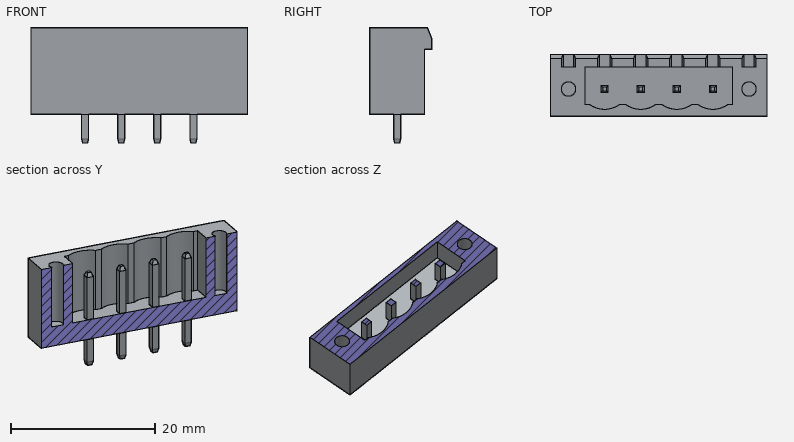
import cadquery as cq

PIN_COUNT = 4
PITCH = 5.0
HOUSING_LENGTH = (PIN_COUNT + 2) * PITCH
HOUSING_HEIGHT = 12.0
HALF_DEPTH = 3.8

LIP_OVERHANG = 1.0
LIP_HEIGHT = 3.0
BEVEL_DEPTH = 0.6
BEVEL_HEIGHT = 1.5

POCKET_LENGTH = 20.4
POCKET_REAR_Y = 3.05
POCKET_FRONT_Y = -2.15
POCKET_FLOOR_Z = 3.0
SCALLOP_HALF_WIDTH = 2.05
SCALLOP_DEPTH = 0.67

NOTCH_TOP_WIDTH = 2.0
NOTCH_FLOOR_WIDTH = 1.45
NOTCH_DEPTH = 1.5

HOLE_DIAMETER = 2.0
HOLE_DEPTH = 9.0

PIN_WIDTH = 1.0
PIN_TOP_TIP_WIDTH = 0.5
PIN_BOTTOM_TIP_WIDTH = 0.7
PIN_TIP_LENGTH = 0.6
PIN_BOTTOM_Z = -4.0
PIN_TOP_Z = 10.0

REAR_Y = HALF_DEPTH + LIP_OVERHANG


def row_positions(count):
    """X positions of a row centred on the part, one pitch apart."""
    return [(i - (count - 1) / 2) * PITCH for i in range(count)]


def make_housing():
    """Side profile with the rear lip, extruded along the length."""
    profile = [
        (-HALF_DEPTH, 0),
        (HALF_DEPTH, 0),
        (HALF_DEPTH, HOUSING_HEIGHT - LIP_HEIGHT),
        (REAR_Y, HOUSING_HEIGHT - LIP_HEIGHT),
        (REAR_Y, HOUSING_HEIGHT - BEVEL_HEIGHT),
        (REAR_Y - BEVEL_DEPTH, HOUSING_HEIGHT),
        (-HALF_DEPTH, HOUSING_HEIGHT),
    ]
    return cq.Workplane("YZ").polyline(profile).close().extrude(HOUSING_LENGTH / 2, both=True)


def make_pocket():
    """Pocket volume with one shallow arc in the front wall per pin."""
    half_length = POCKET_LENGTH / 2
    outline = cq.Workplane("XY").workplane(offset=POCKET_FLOOR_Z)
    outline = outline.moveTo(-half_length, POCKET_REAR_Y).lineTo(-half_length, POCKET_FRONT_Y)
    for x in row_positions(PIN_COUNT):
        outline = outline.lineTo(x - SCALLOP_HALF_WIDTH, POCKET_FRONT_Y)
        outline = outline.threePointArc(
            (x, POCKET_FRONT_Y - SCALLOP_DEPTH),
            (x + SCALLOP_HALF_WIDTH, POCKET_FRONT_Y),
        )
    outline = outline.lineTo(half_length, POCKET_FRONT_Y).lineTo(half_length, POCKET_REAR_Y)
    return outline.close().extrude(HOUSING_HEIGHT - POCKET_FLOOR_Z)


def make_notch(x):
    """Trapezoidal notch from the pocket's rear wall out through the lip."""
    floor_z = HOUSING_HEIGHT - NOTCH_DEPTH
    section = [
        (x - NOTCH_TOP_WIDTH / 2, HOUSING_HEIGHT),
        (x - NOTCH_FLOOR_WIDTH / 2, floor_z),
        (x + NOTCH_FLOOR_WIDTH / 2, floor_z),
        (x + NOTCH_TOP_WIDTH / 2, HOUSING_HEIGHT),
    ]
    rear_plane = cq.Workplane("XZ", origin=(0, POCKET_REAR_Y, 0))
    return rear_plane.polyline(section).close().extrude(POCKET_REAR_Y - REAR_Y)


def make_screw_hole(x):
    """Blind hole sunk from the top face."""
    top = cq.Workplane("XY", origin=(x, 0, HOUSING_HEIGHT))
    return top.circle(HOLE_DIAMETER / 2).extrude(-HOLE_DEPTH)


def make_pin_tip(x, base_z, direction, end_width):
    """Frustum that narrows from base_z upwards (1) or downwards (-1)."""
    base = cq.Workplane("XY", origin=(x, 0, base_z)).rect(PIN_WIDTH, PIN_WIDTH)
    end = base.workplane(offset=direction * PIN_TIP_LENGTH).rect(end_width, end_width)
    return end.loft(ruled=True)


def make_pin(x):
    """Square pin through the pocket floor, tapered at both ends."""
    shank_bottom = PIN_BOTTOM_Z + PIN_TIP_LENGTH
    shank_top = PIN_TOP_Z - PIN_TIP_LENGTH
    start = cq.Workplane("XY", origin=(x, 0, shank_bottom))
    shank = start.rect(PIN_WIDTH, PIN_WIDTH).extrude(shank_top - shank_bottom)
    top_tip = make_pin_tip(x, shank_top, 1, PIN_TOP_TIP_WIDTH)
    bottom_tip = make_pin_tip(x, shank_bottom, -1, PIN_BOTTOM_TIP_WIDTH)
    return shank.union(top_tip).union(bottom_tip)


result = make_housing().cut(make_pocket())

notch_positions = row_positions(PIN_COUNT + 2)
for notch_x in notch_positions:
    result = result.cut(make_notch(notch_x))

for hole_x in (notch_positions[0], notch_positions[-1]):
    result = result.cut(make_screw_hole(hole_x))

for pin_x in row_positions(PIN_COUNT):
    result = result.union(make_pin(pin_x))